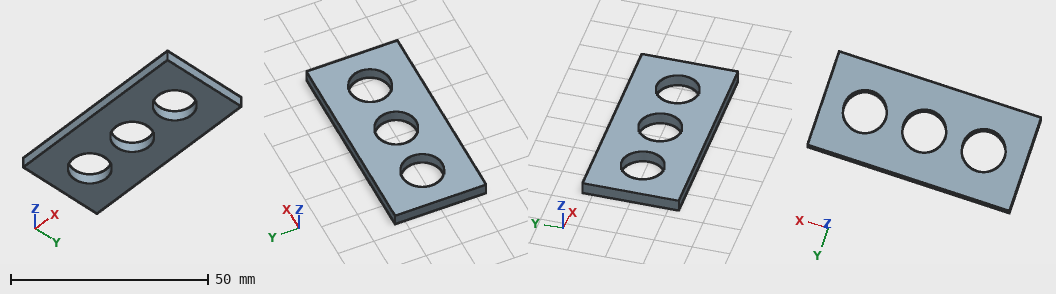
import cadquery as cq

length = 54.0
width = 25.4
thickness = 3.25

hole_diameter = 11.1
hole_pitch = 15.85
hole_count = 3

plate = cq.Workplane("XY").box(length, width, thickness)

result = (
    plate.faces(">Z")
    .workplane()
    .rarray(hole_pitch, width, hole_count, 1)
    .hole(hole_diameter)
)